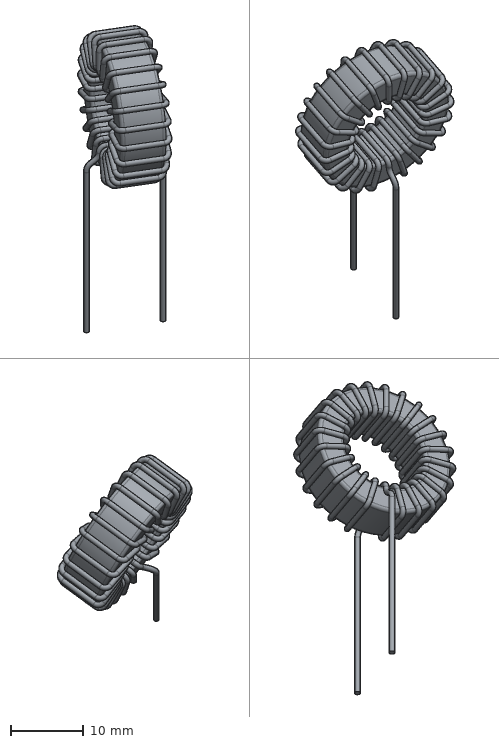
import cadquery as cq
import math

core_outer_diameter = 20.4
core_inner_diameter = 12.4
core_thickness = 6.55
core_corner_radius = 0.5

wire_diameter = 0.8
wire_clearance = 0.025
turn_pitches = 24
total_height = 46.65

lead_spacing = 11.0
lead_straight_top = -9.55

wire_radius = wire_diameter / 2
wire_offset = wire_radius + wire_clearance
bend_radius = core_corner_radius + wire_offset
outer_run_radius = core_outer_diameter / 2 + wire_offset
inner_run_radius = core_inner_diameter / 2 - wire_offset
face_run_y = core_thickness / 2 + wire_offset
lead_y = lead_spacing / 2
lead_end_height = outer_run_radius + wire_radius - total_height
pitch_angle = 360 / turn_pitches
bottom_angle = -90


def make_core():
    """Ring of rectangular section with rounded edges."""
    ring = (
        cq.Workplane("XZ", origin=(0, core_thickness / 2, 0))
        .circle(core_outer_diameter / 2)
        .circle(core_inner_diameter / 2)
        .extrude(core_thickness)
    )
    return ring.edges("%CIRCLE").fillet(core_corner_radius)


def ring_point(radius, angle, y):
    """Point at an angle around the ring axis, measured from +X towards +Z."""
    turn = math.radians(angle)
    return cq.Vector(radius * math.cos(turn), y, radius * math.sin(turn))


def winding_corners():
    """Sharp corners of the wire's centre line from one lead to the other.

    The first and last corners only give the directions in which the leads set off.
    """
    corners = [
        ring_point(outer_run_radius, bottom_angle, -face_run_y),
        ring_point(inner_run_radius, bottom_angle, -face_run_y),
    ]
    for turn in range(1, turn_pitches):
        angle = bottom_angle - turn * pitch_angle
        corners += [
            ring_point(inner_run_radius, angle + pitch_angle, face_run_y),
            ring_point(outer_run_radius, angle, face_run_y),
            ring_point(outer_run_radius, angle, -face_run_y),
            ring_point(inner_run_radius, angle, -face_run_y),
        ]
    corners += [
        ring_point(inner_run_radius, bottom_angle + pitch_angle, face_run_y),
        ring_point(outer_run_radius, bottom_angle, face_run_y),
    ]
    return corners


def bend(previous, corner, following):
    """Arc that rounds one corner of the centre line."""
    backward = (previous - corner).normalized()
    forward = (following - corner).normalized()
    half_angle = backward.getAngle(forward) / 2
    tangent_length = bend_radius / math.tan(half_angle)
    middle_distance = bend_radius / math.sin(half_angle) - bend_radius
    return cq.Edge.makeThreePointArc(
        corner + backward * tangent_length,
        corner + (backward + forward).normalized() * middle_distance,
        corner + forward * tangent_length,
    )


def lead_edges(side, bore_end, direction):
    """Centre line of a lead from its free end up to the bend where it leaves the bore."""
    free_end = cq.Vector(0, side * lead_y, lead_end_height)
    straight_top = cq.Vector(0, side * lead_y, lead_straight_top)
    upward = cq.Vector(0, 0, 1)
    return [
        cq.Edge.makeLine(free_end, straight_top),
        cq.Edge.makeSpline([straight_top, bore_end], tangents=[upward, direction]),
    ]


def winding_path():
    """Centre line of the whole wire: bends joined by straight runs, with a lead at each end."""
    corners = winding_corners()
    bends = [bend(*corners[index - 1:index + 2]) for index in range(1, len(corners) - 1)]
    first_bend = bends[0]
    last_bend = bends[-1]

    edges = lead_edges(-1, first_bend.startPoint(), first_bend.tangentAt(0))
    for current, following in zip(bends, bends[1:]):
        edges += [current, cq.Edge.makeLine(current.endPoint(), following.startPoint())]
    edges.append(last_bend)
    edges += reversed(lead_edges(1, last_bend.endPoint(), last_bend.tangentAt(1) * -1))
    return cq.Wire.assembleEdges(edges)


def make_winding():
    """One continuous round wire with both of its leads."""
    free_end = cq.Workplane("XY", origin=(0, -lead_y, lead_end_height))
    return free_end.circle(wire_radius).sweep(cq.Workplane(obj=winding_path()))


core = make_core()
winding = make_winding()

result = cq.Compound.makeCompound([core.val(), winding.val()])